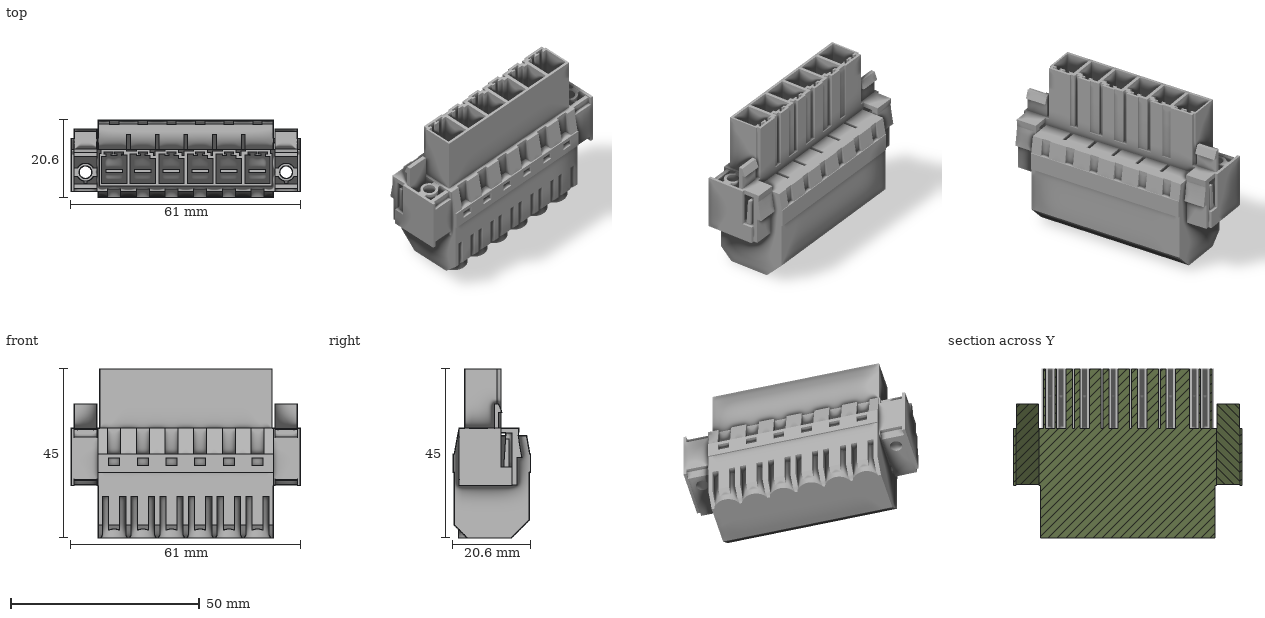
import cadquery as cq

OVERALL_LENGTH = 60.95
OVERALL_DEPTH = 20.6
OVERALL_HEIGHT = 45.0
WAYS = 6
PITCH = 7.6
way_centers = [PITCH * (i - (WAYS - 1) / 2) for i in range(WAYS)]
wall_centers = [x + PITCH / 2 for x in way_centers[:-1]]

BODY_LENGTH = 46.6
body_front = -10.0
body_back = -body_front
band_back = OVERALL_DEPTH / 2
BAND_BOTTOM = 17.45
BAND_TOP = 22.4
SHOULDER_TOP = 29.2
shoulder_front = -8.7
REAR_TOP = 27.2
REAR_SLOPE_BOTTOM_Y = 10.1
REAR_SLOPE_TOP_Y = 9.25
FRONT_CHAMFER = 3.5
REAR_CHAMFER = 4.8

TUBE_RADIUS = 3.8
tube_front = -8.9
TUBE_SLOT_TOP = 11.0
TUBE_SLOT_WIDTH = 1.65
TUBE_SLOT_OFFSET = 2.285

RECESS_WIDTH = 3.5
recess_back = -8.0
WINDOW_WIDTH = 2.9
WINDOW_HEIGHT = 2.0
WINDOW_BOTTOM = 19.25
WINDOW_DEPTH = 1.2

REAR_NOTCH_WIDTH = 2.5
REAR_NOTCH_Y = 9.1
TOP_SLOT_WIDTH = 1.0
TOP_SLOT_BACK = 6.5
TOP_SLOT_DEPTH = 1.8

BLOCK_LENGTH = 45.85
block_front = -7.25
BLOCK_BACK = 2.5
CORNER_NOTCH_WIDTH = 0.4
CORNER_NOTCH_Y = 1.4

chamber_front = -6.5
chamber_half = 3.35
chamber_floor = SHOULDER_TOP
HEAD_HALF = 1.19
HEAD_BOTTOM = 1.3
HEAD_TOP = 1.8
NECK_HALF = 0.64
CHAMBER_MID_Y = 0.85
SHOULDER_LEFT_X = -1.7
SHOULDER_RIGHT_X = 1.92
SHOULDER_RIGHT_Y = 0.1
END_SLOT_OFFSETS = (-1.5, 1.35)
END_CHAMBER_OUTER_Y = 0.7
END_CHAMBER_INNER_Y = 1.05
END_OUTER_STEP_X = -2.2
END_INNER_STEP_X = 2.0

SHALLOW_NOTCH_Y = 2.15
MIDDLE_NOTCH_Y = 1.65
DEEP_NOTCH_Y = 0.9
NOTCH_START = -1.9
NOTCH_MIDDLE = -1.0
NOTCH_DEEP = -0.55
NOTCH_END = 2.1
FIRST_NOTCH_START = -0.5
LAST_NOTCH_END = 0.6

BLADE_WIDTH = 4.4
BLADE_THICKNESS = 0.75
blade_y = -3.25
BLADE_BOTTOM = 21.95
BLADE_TOP = 37.8

FRAME_BOTTOM = 13.95
FRAME_OUTER_WALL = 0.8
FRAME_INNER_WALL = 0.35
FRAME_FRONT_WALL = 0.9
FRAME_FRONT_BOTTOM = 15.6
FRAME_FRONT_TOP = 26.8
FRAME_BACK = 5.4
FRAME_SILL = 18.9
STUB_THICKNESS = 1.15
frame_outer = OVERALL_LENGTH / 2
frame_inner = BODY_LENGTH / 2
insert_outer = frame_outer - FRAME_OUTER_WALL
insert_inner = frame_inner + FRAME_INNER_WALL

insert_width = insert_outer - insert_inner
insert_center = (insert_outer + insert_inner) / 2
insert_front = shoulder_front + FRAME_FRONT_WALL
INSERT_WALL = 1.1
pocket_front = insert_front + INSERT_WALL
INSERT_BOTTOM = 14.15
INSERT_TOP = 28.85
INSERT_BACK = 6.7
LID_BOTTOM = 27.9
LID_BACK = 7.25
LATCH_WAIST_Y = 7.1
LATCH_WAIST_Z = 27.1
LATCH_BEND_Y = 7.45
LATCH_BEND_Z = 24.4
LATCH_TIP_Y = 8.0
LATCH_TIP_Z = 21.45
POST_FRONT = 0.7
POST_BACK = 1.75
POST_TOP = 35.65
HOOK_TIP_Y = 2.7
HOOK_TIP_Z = 33.4
screw_y = -3.55
SLEEVE_RADIUS = 2.4
SLEEVE_TOP = 29.15
SCREW_HOLE_RADIUS = 1.65
WING_THICKNESS = 2.2
KEY_WIDTH = 0.9
key_front = -6.35
KEY_DROP = 0.6
KEY_RIB_DROP = 1.2
LEAF_TOP = 26.3
LEAF_BACK = 4.5
LEAF_FRONT_BOTTOM = 3.2
LEAF_FRONT_TOP = 3.65
LEAF_WEB_WIDTH = 2.45


def box(x0, x1, y0, y1, z0, z1):
    """Box between two opposite corners."""
    return cq.Workplane("XY").box(x1 - x0, y1 - y0, z1 - z0, centered=False).translate((x0, y0, z0))


def centered_box(x, width, y0, y1, z0, z1):
    """Box centred on x."""
    return box(x - width / 2, x + width / 2, y0, y1, z0, z1)


def prism(outline, z0, z1):
    """XY outline extruded from z0 to z1."""
    return cq.Workplane("XY").workplane(offset=z0).polyline(outline).close().extrude(z1 - z0)


def lower_body():
    outline = [
        (body_front + FRONT_CHAMFER, 0),
        (body_back - REAR_CHAMFER, 0),
        (body_back, REAR_CHAMFER),
        (body_back, BAND_BOTTOM),
        (band_back, BAND_BOTTOM),
        (band_back, BAND_TOP),
        (REAR_SLOPE_BOTTOM_Y, BAND_TOP),
        (REAR_SLOPE_TOP_Y, REAR_TOP),
        (BLOCK_BACK, REAR_TOP),
        (BLOCK_BACK, SHOULDER_TOP),
        (shoulder_front, SHOULDER_TOP),
        (body_front, BAND_TOP),
        (-band_back, BAND_TOP),
        (-band_back, BAND_BOTTOM),
        (body_front, BAND_BOTTOM),
        (body_front, FRONT_CHAMFER),
    ]
    return cq.Workplane("YZ").polyline(outline).close().extrude(BODY_LENGTH / 2, both=True)


def add_wire_tubes(body):
    """Cut a pair of front slots at each way, then fill in the wire tube behind them."""
    tube_y = tube_front + TUBE_RADIUS
    for x in way_centers:
        for offset in (-TUBE_SLOT_OFFSET, TUBE_SLOT_OFFSET):
            body = body.cut(centered_box(x + offset, TUBE_SLOT_WIDTH, body_front, tube_y, 0, TUBE_SLOT_TOP))
    for x in way_centers:
        body = body.union(cq.Workplane("XY").center(x, tube_y).circle(TUBE_RADIUS).extrude(TUBE_SLOT_TOP))
    return body


def cut_front_openings(body):
    """Recess above the band and a small blind window in the band at each way."""
    window_top = WINDOW_BOTTOM + WINDOW_HEIGHT
    for x in way_centers:
        body = body.cut(centered_box(x, RECESS_WIDTH, -band_back, recess_back, BAND_TOP, SHOULDER_TOP))
        window_back = -band_back + WINDOW_DEPTH
        body = body.cut(centered_box(x, WINDOW_WIDTH, -band_back, window_back, WINDOW_BOTTOM, window_top))
    return body


def cut_rear_openings(body):
    """Notches in the rear slope at each way and slots in the rear top between ways."""
    for x in way_centers:
        body = body.cut(centered_box(x, REAR_NOTCH_WIDTH, REAR_NOTCH_Y, band_back, BAND_TOP, REAR_TOP))
    for x in wall_centers:
        slot_floor = REAR_TOP - TOP_SLOT_DEPTH
        body = body.cut(centered_box(x, TOP_SLOT_WIDTH, BLOCK_BACK, TOP_SLOT_BACK, slot_floor, REAR_TOP))
    return body


def contact_block():
    half = BLOCK_LENGTH / 2
    block = box(-half, half, block_front, BLOCK_BACK, SHOULDER_TOP, OVERALL_HEIGHT)
    for x in (-half + CORNER_NOTCH_WIDTH / 2, half - CORNER_NOTCH_WIDTH / 2):
        block = block.cut(
            centered_box(x, CORNER_NOTCH_WIDTH, CORNER_NOTCH_Y, BLOCK_BACK, SHOULDER_TOP, OVERALL_HEIGHT)
        )
    return block


def coding_slot(x, bottom_y):
    """T-shaped groove opening into a chamber at bottom_y."""
    neck = centered_box(x, 2 * NECK_HALF, bottom_y, HEAD_BOTTOM, chamber_floor, OVERALL_HEIGHT)
    head = centered_box(x, 2 * HEAD_HALF, HEAD_BOTTOM, HEAD_TOP, chamber_floor, OVERALL_HEIGHT)
    return neck.union(head)


def middle_chamber(x):
    outline = [
        (x - chamber_half, chamber_front),
        (x + chamber_half, chamber_front),
        (x + chamber_half, SHOULDER_RIGHT_Y),
        (x + SHOULDER_RIGHT_X, SHOULDER_RIGHT_Y),
        (x + SHOULDER_RIGHT_X, CHAMBER_MID_Y),
        (x + SHOULDER_LEFT_X, CHAMBER_MID_Y),
        (x + SHOULDER_LEFT_X, HEAD_BOTTOM),
        (x - chamber_half, HEAD_BOTTOM),
    ]
    return prism(outline, chamber_floor, OVERALL_HEIGHT).union(coding_slot(x, CHAMBER_MID_Y))


def left_end_chamber():
    x = way_centers[0]
    outline = [
        (x - chamber_half, chamber_front),
        (x + chamber_half, chamber_front),
        (x + chamber_half, END_CHAMBER_INNER_Y),
        (x + END_INNER_STEP_X, END_CHAMBER_INNER_Y),
        (x + END_INNER_STEP_X, CHAMBER_MID_Y),
        (x + END_OUTER_STEP_X, CHAMBER_MID_Y),
        (x + END_OUTER_STEP_X, END_CHAMBER_OUTER_Y),
        (x - chamber_half, END_CHAMBER_OUTER_Y),
    ]
    chamber = prism(outline, chamber_floor, OVERALL_HEIGHT)
    for offset in END_SLOT_OFFSETS:
        chamber = chamber.union(coding_slot(x + offset, CHAMBER_MID_Y))
    return chamber


def cut_chambers(block):
    end_chamber = left_end_chamber()
    block = block.cut(end_chamber).cut(end_chamber.mirror("YZ"))
    for x in way_centers[1:-1]:
        block = block.cut(middle_chamber(x))
    return block


def cut_coding_notches(block):
    """Stepped notches in the back of the block at each wall; the first wall has only the shallow step."""
    for x in wall_centers:
        is_first = x == wall_centers[0]
        is_last = x == wall_centers[-1]
        start = FIRST_NOTCH_START if is_first else NOTCH_DEEP
        end = LAST_NOTCH_END if is_last else NOTCH_END
        steps = [(start, end, SHALLOW_NOTCH_Y)]
        if not is_first:
            steps.append((NOTCH_START, NOTCH_MIDDLE, MIDDLE_NOTCH_Y))
            steps.append((NOTCH_MIDDLE, NOTCH_DEEP, DEEP_NOTCH_Y))
        for left, right, depth_y in steps:
            block = block.cut(box(x + left, x + right, depth_y, BLOCK_BACK, SHOULDER_TOP, OVERALL_HEIGHT))
    return block


def right_flange_frame():
    """Three-sided frame that holds an insert, with a stub that guides the insert's back."""
    outer_wall = box(insert_outer, frame_outer, shoulder_front, BLOCK_BACK, FRAME_BOTTOM, SHOULDER_TOP)
    sill = box(insert_outer, frame_outer, BLOCK_BACK, FRAME_BACK, FRAME_BOTTOM, FRAME_SILL)
    inner_wall = box(frame_inner, insert_inner, shoulder_front, BLOCK_BACK, FRAME_BOTTOM, SHOULDER_TOP)
    stub = box(frame_inner, insert_inner, FRAME_BACK - STUB_THICKNESS, FRAME_BACK, FRAME_BOTTOM, FRAME_SILL)
    front_wall = box(
        frame_inner, frame_outer, shoulder_front, insert_front, FRAME_FRONT_BOTTOM, FRAME_FRONT_TOP
    )
    return [outer_wall, sill, inner_wall, stub, front_wall]


def cut_blade_slots(body):
    for x in way_centers:
        body = body.cut(contact_blade(x))
    return body


def make_housing():
    body = cut_rear_openings(cut_front_openings(add_wire_tubes(lower_body())))
    block = cut_coding_notches(cut_chambers(contact_block()))
    housing = cut_blade_slots(body.union(block))
    for piece in right_flange_frame():
        housing = housing.union(piece).union(piece.mirror("YZ"))
    return housing


def contact_blade(x):
    half = BLADE_THICKNESS / 2
    return centered_box(x, BLADE_WIDTH, blade_y - half, blade_y + half, BLADE_BOTTOM, BLADE_TOP)


def insert_blank(x):
    """Side outline with the bottom lead-in, the rear latch, the lid and the hooked post."""
    outline = (
        cq.Workplane("YZ", origin=(x, 0, 0))
        .moveTo(insert_front, INSERT_TOP)
        .lineTo(insert_front, INSERT_BOTTOM + INSERT_WALL)
        .lineTo(pocket_front, INSERT_BOTTOM)
        .lineTo(INSERT_BACK, INSERT_BOTTOM)
        .lineTo(INSERT_BACK, LATCH_TIP_Z)
        .lineTo(LATCH_TIP_Y, LATCH_TIP_Z)
        .threePointArc((LATCH_BEND_Y, LATCH_BEND_Z), (LATCH_WAIST_Y, LATCH_WAIST_Z))
        .lineTo(LID_BACK, SHOULDER_TOP)
        .lineTo(POST_BACK, SHOULDER_TOP)
        .lineTo(POST_BACK, HOOK_TIP_Z)
        .lineTo(HOOK_TIP_Y, HOOK_TIP_Z)
        .lineTo(POST_BACK, POST_TOP)
        .lineTo(POST_FRONT, POST_TOP)
        .lineTo(POST_FRONT, INSERT_TOP)
        .close()
    )
    return outline.extrude(insert_width / 2, both=True)


def screw_sleeve(x):
    """Sleeve with a wing to each side and a stepped key to the front wall, all on the pocket floor."""
    height = SLEEVE_TOP - FRAME_SILL
    half_wing = WING_THICKNESS / 2
    sleeve = cq.Workplane("XY", origin=(x, screw_y, FRAME_SILL)).circle(SLEEVE_RADIUS).extrude(height)
    wings = centered_box(x, insert_width, screw_y - half_wing, screw_y + half_wing, FRAME_SILL, SLEEVE_TOP)
    key = centered_box(x, KEY_WIDTH, key_front, screw_y, FRAME_SILL, INSERT_TOP - KEY_DROP)
    key_rib = centered_box(x, KEY_WIDTH, pocket_front, screw_y, FRAME_SILL, INSERT_TOP - KEY_RIB_DROP)
    return sleeve.union(wings).union(key).union(key_rib)


def spring_leaf(x):
    """Slanted leaf under the lid, tied to the rear wall by a narrower web."""
    leaf_outline = [
        (LEAF_FRONT_BOTTOM, FRAME_SILL),
        (LEAF_BACK, FRAME_SILL),
        (LEAF_BACK, LEAF_TOP),
        (LEAF_FRONT_TOP, LEAF_TOP),
    ]
    leaf_sketch = cq.Workplane("YZ", origin=(x, 0, 0)).polyline(leaf_outline).close()
    leaf = leaf_sketch.extrude(insert_width / 2, both=True)
    web = centered_box(x, LEAF_WEB_WIDTH, LEAF_FRONT_TOP, FRAME_BACK, FRAME_SILL, LID_BOTTOM)
    return leaf.union(web)


def make_insert(x):
    pocket = centered_box(x, insert_width, pocket_front, POST_FRONT, FRAME_SILL, INSERT_TOP)
    lid_gap = centered_box(x, insert_width, POST_BACK, FRAME_BACK, FRAME_SILL, LID_BOTTOM)
    hole_depth = SLEEVE_TOP - INSERT_BOTTOM
    hole_sketch = cq.Workplane("XY", origin=(x, screw_y, INSERT_BOTTOM)).circle(SCREW_HOLE_RADIUS)
    hole = hole_sketch.extrude(hole_depth)
    body = insert_blank(x).cut(pocket).cut(lid_gap)
    return body.union(screw_sleeve(x)).cut(hole).union(spring_leaf(x))


housing = make_housing()
blades = [contact_blade(x) for x in way_centers]
inserts = [make_insert(x) for x in (-insert_center, insert_center)]

bodies = [housing, *blades, *inserts]
result = cq.Compound.makeCompound([body.solids().val() for body in bodies])